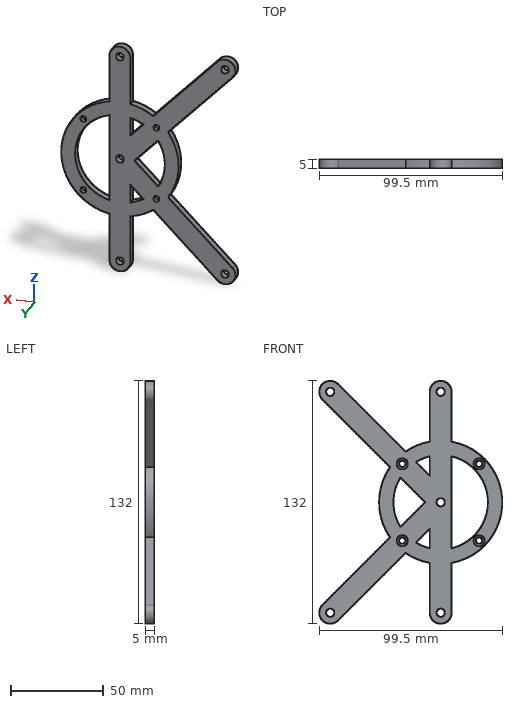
import cadquery as cq

height = 132.0
thickness = 5.0

arm_width = 12.0
arm_radius = arm_width / 2
arm_reach = height / 2 - arm_radius
arm_hole_diameter = 4.4

ring_outer_radius = 33.5
ring_inner_radius = 25.6

screw_offset = 20.9
screw_hole_diameter = 3.3
countersink_diameter = 6.1
countersink_angle = 90.0

arm_ends = [
    (0, arm_reach),
    (0, -arm_reach),
    (-arm_reach, arm_reach),
    (-arm_reach, -arm_reach),
]
screw_points = [
    (x, z)
    for x in (-screw_offset, screw_offset)
    for z in (-screw_offset, screw_offset)
]


def front_plane():
    """Sketch plane on the front face; material lies at negative depth along its normal."""
    return cq.Workplane("XZ")


def make_arm(end_x, end_z):
    """Flat bar from the hub to a rounded end."""
    end = cq.Vector(end_x, end_z)
    side = cq.Vector(-end_z, end_x).normalized() * arm_radius
    tip = end + end.normalized() * arm_radius
    return (
        front_plane()
        .moveTo(-side.x, -side.y)
        .lineTo(end.x - side.x, end.y - side.y)
        .threePointArc((tip.x, tip.y), (end.x + side.x, end.y + side.y))
        .lineTo(side.x, side.y)
        .close()
        .extrude(-thickness)
    )


plate = front_plane().circle(ring_outer_radius).circle(ring_inner_radius).extrude(-thickness)
for end_x, end_z in arm_ends:
    plate = plate.union(make_arm(end_x, end_z))

arm_holes = (
    front_plane()
    .pushPoints([(0, 0)] + arm_ends)
    .circle(arm_hole_diameter / 2)
    .extrude(-thickness)
)
plate = plate.cut(arm_holes)

result = (
    front_plane()
    .add(plate)
    .pushPoints(screw_points)
    .cskHole(screw_hole_diameter, countersink_diameter, countersink_angle)
)